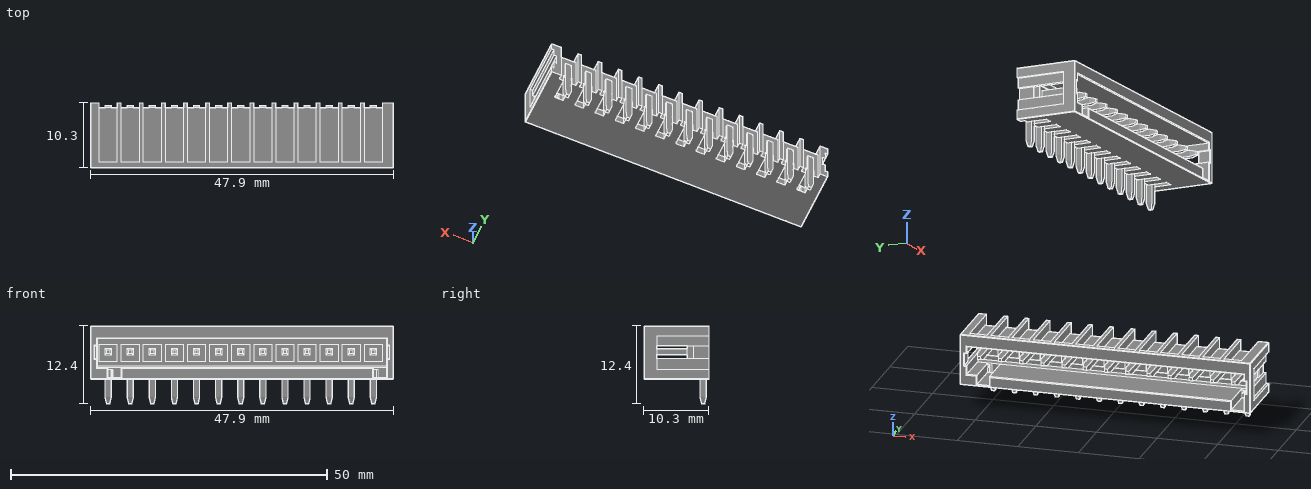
import cadquery as cq

length = 47.9
depth = 10.3
height = 8.45

pin_count = 13
pitch = 3.5
row_shift = -0.2
pin_size = 1.0
pin_tip_size = 0.55
pin_tip_length = 1.0
pin_z = 4.35
pin_front_y = 1.15
leg_back_gap = 0.45
leg_drop = 3.9

side_wall = 1.1
cavity_depth = 6.85
cavity_top_z = 6.4
cavity_floor_z = 1.8
ramp_length = 0.7
ramp_rise = 0.25
lead_in = 0.15
edge_chamfer = 0.1

cell_width = 2.87
cell_height = 2.75
cell_z = 4.15
cell_depth = 0.15

top_slot_depth = 1.6
top_slot_front_y = 0.95
back_slot_depth = 0.75

leg_slot_width = 1.45
leg_slot_height = 1.55

notch_width = 2.05
notch_floor_z = 0.3
notch_depth = cavity_depth - ramp_length

recess_depth = 0.45
recess_front_y = 2.05
recess_low_z = 1.55
recess_high_z = 6.85
window_low_z = 3.3
window_high_z = 5.25
window_depth = 0.9
window_step_depth = 1.0
groove_wall = 0.7

pin_xs = [row_shift + pitch * (i - (pin_count - 1) / 2) for i in range(pin_count)]
row_left = pin_xs[0]
row_right = pin_xs[-1]
leg_y = depth - leg_back_gap - pin_size / 2


def block(x_range, y_range, z_range):
    """Axis-aligned box between pairs of limits."""
    (x0, x1), (y0, y1), (z0, z1) = x_range, y_range, z_range
    return cq.Workplane("XY").box(x1 - x0, y1 - y0, z1 - z0, centered=False).translate((x0, y0, z0))


def centred(middle, width):
    """Limits of a span of the given width about its middle."""
    return (middle - width / 2, middle + width / 2)


def opening(x_range, z_range, end_y=cavity_depth):
    """Rectangular opening in the mating face with a flared mouth."""
    (x0, x1), (z0, z1) = x_range, z_range
    wide = x1 - x0
    tall = z1 - z0
    mouth = (
        cq.Workplane("XZ", origin=((x0 + x1) / 2, 0, (z0 + z1) / 2))
        .rect(wide + 2 * lead_in, tall + 2 * lead_in)
        .workplane(offset=-lead_in)
        .rect(wide, tall)
        .loft()
    )
    return block(x_range, (0, end_y), z_range).union(mouth)


def mating_openings():
    """Plug cavity, its two side guide grooves and the keying notches in its floor."""
    half = length / 2 - side_wall
    groove_half = length / 2 - groove_wall
    openings = [
        opening((-half, half), (cavity_floor_z, cavity_top_z)),
        opening((-groove_half, groove_half), (window_low_z, window_high_z)),
    ]
    for x in (row_left, row_right):
        notch_z = (notch_floor_z, cavity_floor_z + lead_in)
        openings.append(opening((x, x + notch_width), notch_z, notch_depth))
    return openings


def floor_ramp():
    """Small ramp where the cavity floor meets the back wall."""
    return (
        cq.Workplane("YZ")
        .moveTo(cavity_depth - ramp_length, cavity_floor_z)
        .lineTo(cavity_depth, cavity_floor_z)
        .lineTo(cavity_depth, cavity_floor_z + ramp_rise)
        .close()
        .extrude(length / 2 - side_wall, both=True)
    )


def cell_cuts(x):
    """Top slot, back slot, leg slot and cell pocket around one pin."""
    wide = centred(x, cell_width)
    top_slot = block(wide, (top_slot_front_y, depth), (height - top_slot_depth, height))
    back_slot = block(wide, (depth - back_slot_depth, depth), (0, height))
    leg_slot = block(centred(x, leg_slot_width), (notch_depth, depth), (0, leg_slot_height))
    pocket = block(wide, (cavity_depth, cavity_depth + cell_depth), centred(cell_z, cell_height))
    return [top_slot, back_slot, leg_slot, pocket]


def side_cuts():
    """Recess of the left side wall and the stepped window in its floor."""
    left = -length / 2
    window_z = (window_low_z, window_high_z)
    recess = block((left, left + recess_depth), (recess_front_y, depth), (recess_low_z, recess_high_z))
    window = block((left, left + window_depth), (recess_front_y, depth), window_z)
    step = block((left, left + side_wall), (recess_front_y, cavity_depth + window_step_depth), window_z)
    return [recess, window, step]


def pin(x):
    """Bent square pin: mating arm along Y and solder leg along Z, both with tapered tips."""
    arm_start = pin_front_y + pin_tip_length
    leg_end = pin_tip_length - leg_drop
    arm = block(centred(x, pin_size), (arm_start, leg_y + pin_size / 2), centred(pin_z, pin_size))
    leg = block(centred(x, pin_size), centred(leg_y, pin_size), (leg_end, pin_z))
    tip = (
        cq.Workplane("XY")
        .rect(pin_size, pin_size)
        .workplane(offset=-pin_tip_length)
        .rect(pin_tip_size, pin_tip_size)
        .loft()
    )
    leg_tip = tip.translate((x, leg_y, leg_end))
    arm_tip = tip.rotate((0, 0, 0), (1, 0, 0), -90).translate((x, arm_start, pin_z))
    return [arm, leg, leg_tip, arm_tip]


housing = block((-length / 2, length / 2), (0, depth), (0, height))
housing = housing.faces("<Y").edges().chamfer(edge_chamfer)
housing = housing.edges("|Y").chamfer(edge_chamfer)

for cutter in mating_openings():
    housing = housing.cut(cutter)
housing = housing.union(floor_ramp())

for x in pin_xs:
    for cutter in cell_cuts(x):
        housing = housing.cut(cutter)

for cutter in side_cuts():
    housing = housing.cut(cutter).cut(cutter.mirror("YZ"))

result = housing
for x in pin_xs:
    for piece in pin(x):
        result = result.union(piece)